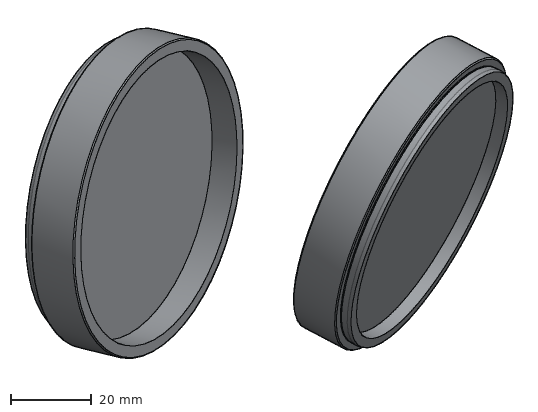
import cadquery as cq

outer_diameter = 81.3
total_length = 15.5
rim_chamfer = 0.3
spigot_length = 3.0
spigot_radius = 38.5
lead_in_length = 1.0
lead_in_drop = 0.25
relief_width = 0.3
relief_depth = 0.1
aperture_radius = 35.7
aperture_depth = 3.4
seat_radius = 37.4
window_thickness = 4.9

outer_radius = outer_diameter / 2
front_x = -total_length / 2
back_x = front_x + total_length
rim_x = front_x + spigot_length
relief_x = rim_x - relief_width
relief_radius = spigot_radius - relief_depth
seat_x = front_x + aperture_depth


def turned(profile):
    """Solid turned about the X axis from a closed outline of (x, radius) points."""
    outline = cq.Workplane("XZ").polyline(profile).close()
    return outline.revolve(360, (0, 0, 0), (1, 0, 0))


def make_housing():
    """Stepped ring with a shoulder behind the aperture for the window to rest on."""
    spigot_outside = [
        (front_x, spigot_radius - lead_in_drop),
        (front_x + lead_in_length, spigot_radius),
        (relief_x, spigot_radius),
        (relief_x, relief_radius),
        (rim_x, relief_radius),
    ]
    rim_outside = [
        (rim_x, outer_radius - rim_chamfer),
        (rim_x + rim_chamfer, outer_radius),
        (back_x - rim_chamfer, outer_radius),
        (back_x, outer_radius - rim_chamfer),
    ]
    stepped_bore = [
        (back_x, seat_radius),
        (seat_x, seat_radius),
        (seat_x, aperture_radius),
        (front_x, aperture_radius),
    ]
    return turned(spigot_outside + rim_outside + stepped_bore)


def make_window():
    """Flat disc that fills the seat bore and rests on the shoulder of the housing."""
    window_back_x = seat_x + window_thickness
    return turned([(seat_x, 0), (seat_x, seat_radius), (window_back_x, seat_radius), (window_back_x, 0)])


housing = make_housing()
window = make_window()

result = cq.Compound.makeCompound([housing.val(), window.val()])